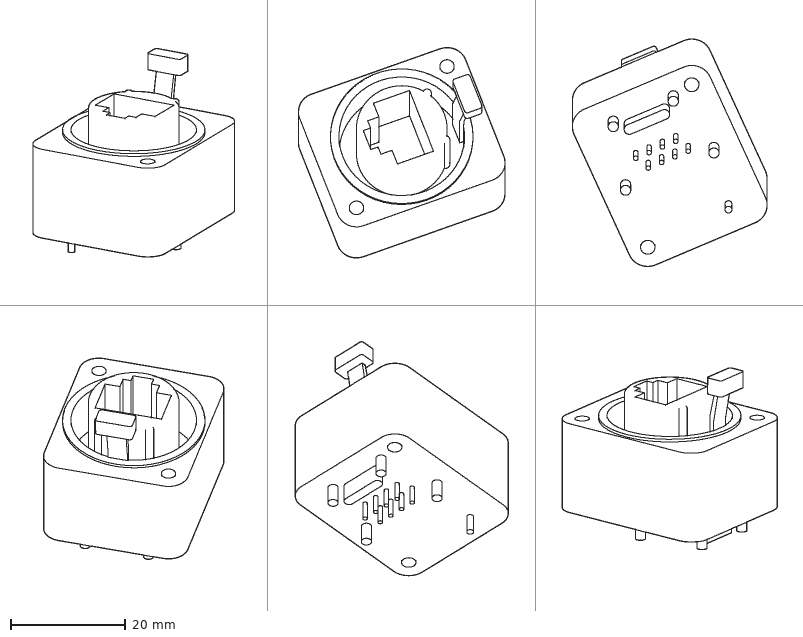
import cadquery as cq
import math

body_width = 26.0
body_length = 31.0
body_height = 16.5
corner_radius = 3.5

collar_radius = 12.45
collar_height = 0.5
well_radius = 10.97
well_depth = 9.0
collar_top = body_height + collar_height
well_floor = collar_top - well_depth

socket_radius = 7.95
socket_top = body_height + 4.95
socket_edge_radius = 0.5
rib_radius = 0.75
rib_angle = 54.5

jack_top_y = 3.7
jack_steps = [(12.0, -3.05), (6.6, -5.1), (3.72, -6.48)]

hole_diameter = 2.5
hole_x = 9.5
hole_y = 12.0

strip_width = 3.5
strip_front_y = 10.17
strip_back_y = 10.97
bend_front_z = body_height + 3.05
bend_back_z = body_height + 2.15
strip_lean = 1.05
button_width = 6.65
button_length = 3.2
button_height = 3.0
button_center_y = 12.25
button_edge_radius = 0.5
total_height = 30.75

pin_length = 3.5
button_bottom = total_height - pin_length - button_height
peg_diameter = 1.8
inner_peg_x = 5.75
inner_peg_y = 11.47
outer_peg_x = 8.43
bar_length = 8.52
bar_y = 9.9
ground_pin_diameter = 1.2
ground_pin_x = -6.6
ground_pin_y = -10.48
contact_diameter = 0.8
contact_count = 8
contact_pitch = 1.27
contact_rows_y = [2.1, 4.62]


def make_housing():
    block = (
        cq.Workplane("XY")
        .rect(body_width, body_length)
        .extrude(body_height)
        .edges("|Z")
        .fillet(corner_radius)
    )
    collar = cq.Workplane("XY").circle(collar_radius).extrude(collar_top)
    well = cq.Workplane("XY").workplane(offset=well_floor).circle(well_radius).extrude(well_depth)
    holes = (
        cq.Workplane("XY")
        .pushPoints([(-hole_x, hole_y), (hole_x, -hole_y)])
        .circle(hole_diameter / 2)
        .extrude(body_height)
    )
    return block.union(collar).cut(well).cut(holes)


def make_socket():
    height = socket_top - well_floor
    base = cq.Workplane("XY").workplane(offset=well_floor)
    rib_x = socket_radius * math.cos(math.radians(rib_angle))
    rib_y = socket_radius * math.sin(math.radians(rib_angle))
    ribs = base.pushPoints([(-rib_x, rib_y), (rib_x, rib_y)]).circle(rib_radius).extrude(height)
    socket = base.circle(socket_radius).extrude(height).union(ribs)
    socket = socket.faces(">Z").edges().fillet(socket_edge_radius)
    for width, lower_y in jack_steps:
        step_length = jack_top_y - lower_y
        opening = (
            base.center(0, jack_top_y - step_length / 2)
            .rect(width, step_length)
            .extrude(height)
        )
        socket = socket.cut(opening)
    return socket


def make_latch():
    strip = (
        cq.Workplane("YZ")
        .moveTo(strip_front_y, well_floor)
        .lineTo(strip_front_y, bend_front_z)
        .lineTo(strip_front_y + strip_lean, button_bottom)
        .lineTo(strip_back_y + strip_lean, button_bottom)
        .lineTo(strip_back_y, bend_back_z)
        .lineTo(strip_back_y, well_floor)
        .close()
        .extrude(strip_width / 2, both=True)
    )
    button = (
        cq.Workplane("XY")
        .workplane(offset=button_bottom)
        .center(0, button_center_y)
        .rect(button_width, button_length)
        .extrude(button_height)
        .edges("|Z")
        .fillet(button_edge_radius)
    )
    return strip.union(button)


def make_pins():
    underside = cq.Workplane("XY")
    peg_centers = [
        (-inner_peg_x, inner_peg_y),
        (inner_peg_x, inner_peg_y),
        (-outer_peg_x, 0),
        (outer_peg_x, 0),
    ]
    pegs = underside.pushPoints(peg_centers).circle(peg_diameter / 2).extrude(-pin_length)
    bar = underside.center(0, bar_y).slot2D(bar_length, peg_diameter).extrude(-pin_length)
    ground_pin = (
        underside.center(ground_pin_x, ground_pin_y)
        .circle(ground_pin_diameter / 2)
        .extrude(-pin_length)
    )
    first_x = -contact_pitch * (contact_count - 1) / 2
    contact_centers = [
        (first_x + i * contact_pitch, contact_rows_y[i % len(contact_rows_y)])
        for i in range(contact_count)
    ]
    contacts = underside.pushPoints(contact_centers).circle(contact_diameter / 2).extrude(-pin_length)
    return pegs, bar, ground_pin, contacts


result = make_housing().union(make_socket()).union(make_latch())
for pin_group in make_pins():
    result = result.union(pin_group)